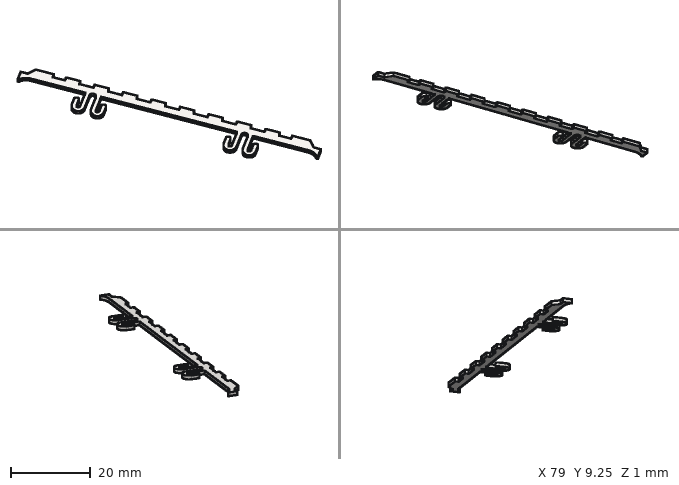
import cadquery as cq
import math

length = 79.0
thickness = 1.0
bar_height = 2.1
tooth_height = 0.95
top_y = bar_height + tooth_height

tooth_count = 8
tooth_width = 3.8
tooth_pitch = 7.5

block_inner_x = 31.4
block_corner_x = 36.1
tip_root_x = 37.7
tip_top_y = 1.3
tip_drop = 1.2
tip_flat = 0.3
tip_curve_x = 36.65

hook_pair_x = 20.0
strip_width = 1.3
stem_gap = 1.65
hook_slot = 0.9
hook_bottom_y = top_y - 9.25
hook_tip_y = -2.05
relief_depth = 0.3

half_length = length / 2


def box(x_min, x_max, y_min, y_max):
    """Plate-thick rectangular block between the given X and Y limits."""
    return cq.Workplane("XY").box(
        x_max - x_min, y_max - y_min, thickness, centered=False
    ).translate((x_min, y_min, 0))


def make_bar():
    return box(-tip_curve_x, tip_curve_x, 0, bar_height)


def make_right_end():
    """End block with a sloped corner and a tip that curves downward."""
    foot_x = half_length - tip_flat
    curve_run = foot_x - tip_curve_x
    radius = (curve_run**2 + tip_drop**2) / (2 * tip_drop)
    mid_angle = math.asin(curve_run / radius) / 2
    curve_mid = (
        tip_curve_x + radius * math.sin(mid_angle),
        -radius * (1 - math.cos(mid_angle)),
    )
    return (
        cq.Workplane("XY")
        .moveTo(block_inner_x, 0)
        .lineTo(block_inner_x, top_y)
        .lineTo(block_corner_x, top_y)
        .lineTo(tip_root_x, tip_top_y)
        .lineTo(half_length, tip_top_y)
        .lineTo(half_length, -tip_drop)
        .lineTo(foot_x, -tip_drop)
        .threePointArc(curve_mid, (tip_curve_x, 0))
        .close()
        .extrude(thickness)
    )


def make_right_hook():
    """J-shaped hook to the right of its pair's centre line X = 0."""
    stem_inner = stem_gap / 2
    stem_outer = stem_inner + strip_width
    arm_inner = stem_outer + hook_slot
    arm_outer = arm_inner + strip_width
    bend_x = (stem_inner + arm_outer) / 2
    bend_y = hook_bottom_y + (arm_outer - stem_inner) / 2
    arm_end_y = hook_tip_y - strip_width / 2
    return (
        cq.Workplane("XY")
        .moveTo(stem_inner, bar_height / 2)
        .lineTo(stem_inner, bend_y)
        .threePointArc((bend_x, hook_bottom_y), (arm_outer, bend_y))
        .lineTo(arm_outer, arm_end_y)
        .threePointArc(((arm_inner + arm_outer) / 2, hook_tip_y), (arm_inner, arm_end_y))
        .lineTo(arm_inner, bend_y)
        .threePointArc((bend_x, bend_y - hook_slot / 2), (stem_outer, bend_y))
        .lineTo(stem_outer, bar_height / 2)
        .close()
        .extrude(thickness)
    )


def make_hook_pair():
    """Two mirrored hooks joined by a web with a round-topped gap."""
    hook = make_right_hook()
    gap_radius = stem_gap / 2
    gap_centre_y = relief_depth - gap_radius
    web = box(-gap_radius, gap_radius, gap_centre_y, bar_height / 2)
    return hook.union(hook.mirror("YZ")).union(web)


def make_gap_relief():
    """Round top of the gap between a pair of stems."""
    gap_radius = stem_gap / 2
    return (
        cq.Workplane("XY")
        .center(0, relief_depth - gap_radius)
        .circle(gap_radius)
        .extrude(thickness)
    )


right_end = make_right_end()
result = make_bar().union(right_end).union(right_end.mirror("YZ"))

for index in range(tooth_count):
    tooth_x = (index - (tooth_count - 1) / 2) * tooth_pitch
    result = result.union(box(tooth_x - tooth_width / 2, tooth_x + tooth_width / 2, 0, top_y))

for pair_x in (-hook_pair_x, hook_pair_x):
    result = result.union(make_hook_pair().translate((pair_x, 0, 0)))
    result = result.cut(make_gap_relief().translate((pair_x, 0, 0)))

result = result.clean()